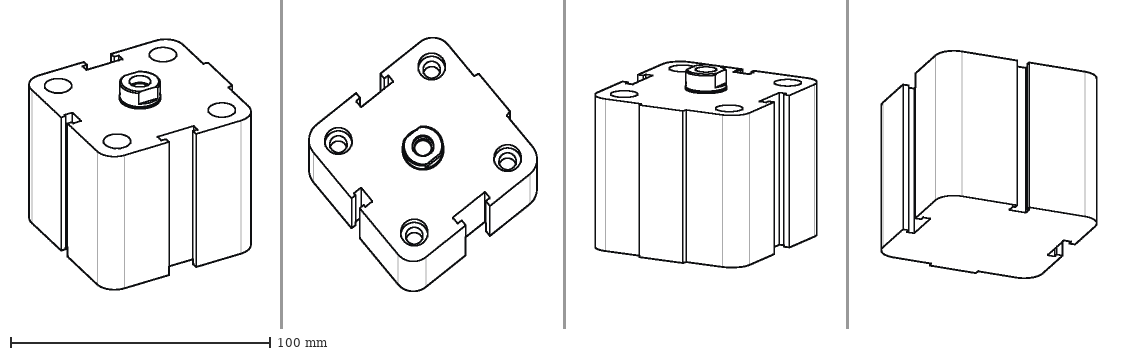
import cadquery as cq

SIDE = 67.0
TAB_HEIGHT = 2.0
BODY_HEIGHT = 60.5
CORNER_RADIUS = 7.7

TAB_ROOT_WIDTH = 19.9
TAB_TIP_WIDTH = 19.2

SIDE_SLOT_MOUTH = 12.0
SIDE_SLOT_WIDTH = 16.0
SIDE_SLOT_LIP = 2.5

FRONT_SLOT_MOUTH = 5.0
FRONT_SLOT_WIDTH = 7.0
FRONT_SLOT_LIP = 2.0

SLOT_DEPTH = 5.5

HOLE_SPACING = 46.4
COUNTERBORE_DIAMETER = 10.5
COUNTERBORE_DEPTH = 6.55
HOLE_DIAMETER = 6.6
HOLE_DEPTH = 17.25

TOTAL_HEIGHT = 68.0
ROD_DIAMETER = 15.6
ROD_CHAMFER = 0.55
COLLAR_DIAMETER = 16.0
COLLAR_HEIGHT = 0.8
FLAT_SPACING = 13.05
FLAT_LENGTH = 5.45
ROD_BORE_DIAMETER = 8.2
ROD_BORE_DEPTH = 3.05
ROD_HOLE_DIAMETER = 6.6
ROD_HOLE_DEPTH = 6.2


def t_slot(mouth, width, lip, angle):
    """Full-height T-slot cutter in the -Y side, turned about Z to its own side."""
    face = -SIDE / 2
    neck = cq.Workplane("XY").box(mouth, lip, BODY_HEIGHT, centered=(True, False, False))
    head = (
        cq.Workplane("XY")
        .box(width, SLOT_DEPTH - lip, BODY_HEIGHT, centered=(True, False, False))
        .translate((0, lip, 0))
    )
    return neck.union(head).translate((0, face, 0)).rotate((0, 0, 0), (0, 0, 1), angle)


def make_tab():
    """Full-height rib on the +Y side, reaching inward to the block centre."""
    face = SIDE / 2
    return (
        cq.Workplane("XY")
        .polyline([
            (-TAB_ROOT_WIDTH / 2, 0),
            (-TAB_ROOT_WIDTH / 2, face),
            (-TAB_TIP_WIDTH / 2, face + TAB_HEIGHT),
            (TAB_TIP_WIDTH / 2, face + TAB_HEIGHT),
            (TAB_ROOT_WIDTH / 2, face),
            (TAB_ROOT_WIDTH / 2, 0),
        ])
        .close()
        .extrude(BODY_HEIGHT)
    )


def make_housing():
    """Block with a rib, three T-slots and four counterbored blind holes."""
    block = (
        cq.Workplane("XY")
        .box(SIDE, SIDE, BODY_HEIGHT, centered=(True, True, False))
        .edges("|Z")
        .fillet(CORNER_RADIUS)
    )
    block = block.union(make_tab())
    block = block.cut(t_slot(FRONT_SLOT_MOUTH, FRONT_SLOT_WIDTH, FRONT_SLOT_LIP, 0))
    for angle in (90, -90):
        block = block.cut(t_slot(SIDE_SLOT_MOUTH, SIDE_SLOT_WIDTH, SIDE_SLOT_LIP, angle))
    return (
        block.faces(">Z")
        .workplane(origin=(0, 0, BODY_HEIGHT))
        .rect(HOLE_SPACING, HOLE_SPACING, forConstruction=True)
        .vertices()
        .cboreHole(HOLE_DIAMETER, COUNTERBORE_DIAMETER, COUNTERBORE_DEPTH, HOLE_DEPTH)
    )


def cut_flats(rod, length):
    """Two parallel wrench flats facing -X and +X, open at the rod end."""
    offset = (FLAT_SPACING + ROD_DIAMETER) / 2
    for side in (-1, 1):
        cutter = (
            cq.Workplane("XY")
            .box(ROD_DIAMETER, ROD_DIAMETER, FLAT_LENGTH, centered=(True, True, False))
            .translate((side * offset, 0, length - FLAT_LENGTH))
        )
        rod = rod.cut(cutter)
    return rod


def make_rod():
    """Chamfered rod end with wrench flats, a collar at its foot and a stepped bore."""
    length = TOTAL_HEIGHT - BODY_HEIGHT
    rod = cq.Workplane("XY").circle(ROD_DIAMETER / 2).extrude(length)
    rod = rod.faces(">Z").chamfer(ROD_CHAMFER)
    rod = cut_flats(rod, length)
    collar = cq.Workplane("XY").circle(COLLAR_DIAMETER / 2).extrude(COLLAR_HEIGHT)
    collar = collar.faces(">Z").chamfer((COLLAR_DIAMETER - ROD_DIAMETER) / 2)
    return (
        rod.union(collar)
        .faces(">Z")
        .workplane(origin=(0, 0, length))
        .cboreHole(ROD_HOLE_DIAMETER, ROD_BORE_DIAMETER, ROD_BORE_DEPTH, ROD_HOLE_DEPTH)
        .translate((0, 0, BODY_HEIGHT))
    )


housing = make_housing()
rod = make_rod()
result = cq.Compound.makeCompound([housing.val(), rod.val()])